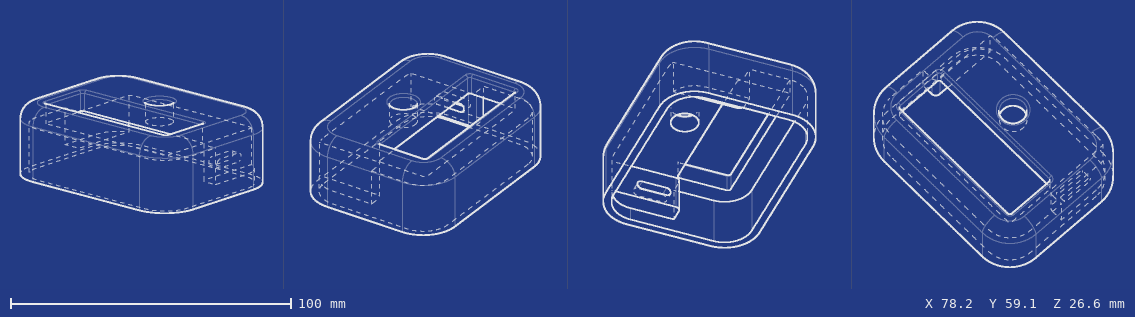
import cadquery as cq

LENGTH = 78.15
WIDTH = 59.1
HEIGHT = 26.64
CORNER_RADIUS = 13.5
TOP_FILLET = 6.0

WALL = 3.0
ROOF_THICKNESS = 7.7
CAVITY_LENGTH = LENGTH - 2 * WALL
CAVITY_WIDTH = WIDTH - 2 * WALL
CAVITY_HEIGHT = HEIGHT - ROOF_THICKNESS
CAVITY_CORNER_RADIUS = CORNER_RADIUS - WALL

OPENING_EDGE_FILLET = 1.0
WINDOW_LENGTH = 58.2
WINDOW_WIDTH = 20.2
WINDOW_CENTER_Y = -9.3
WINDOW_CORNER_RADIUS = 1.0
HOLE_DIAMETER = 10.0
HOLE_CENTER_Y = 9.5

BLOCK_BOTTOM_Z = 5.3
BLOCK_INNER_X = 29.4
BLOCK_FRONT_Y = -0.8
BLOCK_EDGE_RADIUS = 2.0

SLOT_LENGTH = 12.8
SLOT_HEIGHT = 3.4
SLOT_DEPTH = 4.0
SLOT_CENTER_Y = HOLE_CENTER_Y
SLOT_CENTER_Z = 11.4


def rounded_box(length, width, height, corner_radius):
    """Box standing on Z = 0, centred in X and Y, with rounded vertical edges."""
    box = cq.Workplane("XY").box(length, width, height, centered=(True, True, False))
    return box.edges("|Z").fillet(corner_radius)


def make_body():
    body = rounded_box(LENGTH, WIDTH, HEIGHT, CORNER_RADIUS)
    return body.faces(">Z").edges().fillet(TOP_FILLET)


def cut_roof_openings(body):
    """Cut the window and the round hole, each with a rounded upper edge."""
    window = rounded_box(WINDOW_LENGTH, WINDOW_WIDTH, HEIGHT, WINDOW_CORNER_RADIUS)
    window = window.translate((0, WINDOW_CENTER_Y, 0))
    hole = cq.Workplane("XY").center(0, HOLE_CENTER_Y).circle(HOLE_DIAMETER / 2).extrude(HEIGHT)
    opened = body.cut(window).cut(hole)
    rims = opened.faces(">Z").val().innerWires()
    rim_edges = [edge for rim in rims for edge in rim.Edges()]
    return opened.newObject(rim_edges).fillet(OPENING_EDGE_FILLET)


def make_cavity():
    """Space inside the shell: full outline, less the two blocks at the rear."""
    cavity = rounded_box(CAVITY_LENGTH, CAVITY_WIDTH, CAVITY_HEIGHT, CAVITY_CORNER_RADIUS)
    block_length = LENGTH / 2 - BLOCK_INNER_X
    block_width = WIDTH / 2 - BLOCK_FRONT_Y
    block_height = CAVITY_HEIGHT - BLOCK_BOTTOM_Z
    block = cq.Workplane("XY").box(block_length, block_width, block_height, centered=False)
    block = block.edges("|Z and <X and <Y").fillet(BLOCK_EDGE_RADIUS)
    block = block.translate((BLOCK_INNER_X, BLOCK_FRONT_Y, BLOCK_BOTTOM_Z))
    return cavity.cut(block).cut(block.mirror("YZ"))


def make_slot():
    plane = cq.Workplane("YZ", origin=(BLOCK_INNER_X, SLOT_CENTER_Y, SLOT_CENTER_Z))
    return plane.slot2D(SLOT_LENGTH, SLOT_HEIGHT).extrude(SLOT_DEPTH)


result = cut_roof_openings(make_body()).cut(make_cavity()).cut(make_slot())